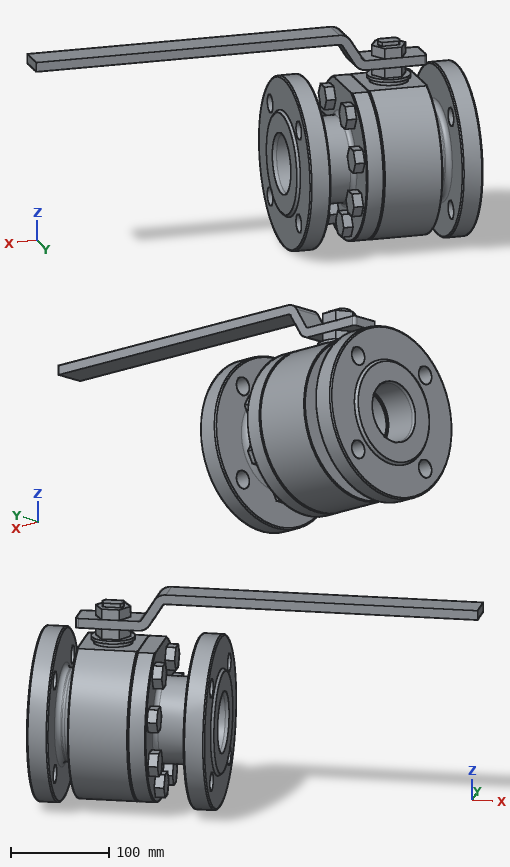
import cadquery as cq
import math


FACE_TO_FACE = 190.0
INLET_FACE_X = -76.0
OUTLET_FACE_X = INLET_FACE_X + FACE_TO_FACE

FLANGE_DIA = 180.0
FLANGE_THICKNESS = 22.0
FLANGE_CHAMFER = 1.5
RAISED_FACE_DIA = 105.0
RAISED_FACE_BASE_DIA = 110.0
RAISED_FACE_HEIGHT = 3.0
FLANGE_HOLE_DIA = 19.0
FLANGE_HOLE_CIRCLE_DIA = 139.7
FLANGE_HOLE_COUNT = 4
FIRST_FLANGE_HOLE_ANGLE = 45.0

BORE_DIA = 62.0
BORE_MOUTH_DIA = 63.8
BORE_MOUTH_DEPTH = 4.0
SEAT_GROOVE_DIA = 63.8
SEAT_GROOVE_OFFSET = 39.0
SEAT_GROOVE_WIDTH = 2.5

BODY_DIA = 170.0
BODY_START_X = -31.5
BODY_END_X = 31.0
CAP_END_X = 49.5
BODY_CHAMFER = 1.0
BODY_FLAT_Z = 79.0
CAP_FLAT_Z = 78.5

INLET_NECK_DIA = 96.0
INLET_FLANGE_FILLET = 5.5
INLET_BEND_START_X = -44.2
INLET_BEND_RADIUS = 6.0
INLET_CONE_END_X = -35.0
INLET_CONE_ANGLE = 27.0
INLET_FLARE_DIA = 111.0
OUTLET_NECK_DIA = 90.0
OUTLET_CAP_FILLET = 5.0
OUTLET_FLANGE_FILLET = 7.0

BOLT_COUNT = 8
BOLT_CIRCLE_DIA = 133.0
BOLT_ACROSS_FLATS = 24.0
BOLT_HEAD_HEIGHT = 10.0
FIRST_BOLT_ANGLE = 32.5

COLLAR_DIA = 45.0
GLAND_DIA = 40.0
COLLAR_BOTTOM_Z = 83.0
COLLAR_TOP_Z = 86.0
NUT_ACROSS_FLATS = 31.4
NUT_TOP_Z = 117.5
STEM_DIA = 22.4
STEM_ACROSS_FLATS = 14.0
STEM_TOP_Z = 121.5

LEVER_START_X = -36.0
LEVER_END_X = 380.0
LEVER_WIDTH = 32.0
LEVER_THICKNESS = 10.0
LEVER_LOW_Z = 96.5
LEVER_TOP_Z = 136.0
LEVER_BEND_X = 31.0
LEVER_SLOPE = 58.0
LEVER_INNER_RADIUS = 4.0
LEVER_CORNER = 3.0

OVERLAP = 1.0


def cylinder_x(diameter, start_x, end_x):
    """Solid cylinder along the flow axis."""
    return cq.Workplane("YZ", origin=(start_x, 0, 0)).circle(diameter / 2).extrude(end_x - start_x)


def hexagon_corners(across_flats):
    """Diameter of the circle through the corners of a hexagon."""
    return across_flats / math.cos(math.radians(30))


def make_flange(face_x, inward):
    """Flange whose raised face lies at face_x; inward is the X direction to the body."""
    plate_x = RAISED_FACE_HEIGHT
    back_x = plate_x + FLANGE_THICKNESS
    radius = FLANGE_DIA / 2
    profile = [
        (0, 0),
        (0, RAISED_FACE_DIA / 2),
        (plate_x, RAISED_FACE_BASE_DIA / 2),
        (plate_x, radius - FLANGE_CHAMFER),
        (plate_x + FLANGE_CHAMFER, radius),
        (back_x - FLANGE_CHAMFER, radius),
        (back_x, radius - FLANGE_CHAMFER),
        (back_x, 0),
    ]
    points = [(face_x + inward * x, r) for x, r in profile]
    flange = cq.Workplane("XY").polyline(points).close().revolve(360, (0, 0, 0), (1, 0, 0))
    holes = (
        cq.Workplane("YZ", origin=(face_x, 0, 0))
        .polarArray(FLANGE_HOLE_CIRCLE_DIA / 2, FIRST_FLANGE_HOLE_ANGLE, 360, FLANGE_HOLE_COUNT)
        .circle(FLANGE_HOLE_DIA / 2)
        .extrude(inward * back_x)
    )
    return flange.cut(holes)


def make_drum(start_x, end_x, flat_z):
    """Round housing piece with chamfered rims and a flat on top."""
    drum = cylinder_x(BODY_DIA, start_x, end_x).edges().chamfer(BODY_CHAMFER)
    above_flat = cq.Workplane("XY", origin=(0, 0, flat_z)).rect(BODY_DIA, BODY_DIA).extrude(BODY_DIA)
    return drum.cut(above_flat)


def make_inlet_neck():
    """Neck with a fillet at the flange, then a cone that curves out to the body."""
    flange_x = INLET_FACE_X + RAISED_FACE_HEIGHT + FLANGE_THICKNESS
    radius = INLET_NECK_DIA / 2
    fillet = INLET_FLANGE_FILLET
    arc_offset = fillet * (1 - math.sqrt(0.5))
    cone_angle = math.radians(INLET_CONE_ANGLE)
    bend_end_x = INLET_BEND_START_X + INLET_BEND_RADIUS * math.sin(cone_angle)
    bend_end_radius = radius + INLET_BEND_RADIUS * (1 - math.cos(cone_angle))
    cone_end_radius = bend_end_radius + (INLET_CONE_END_X - bend_end_x) * math.tan(cone_angle)
    return (
        cq.Workplane("XY")
        .moveTo(flange_x - OVERLAP, 0)
        .lineTo(flange_x - OVERLAP, radius + fillet)
        .lineTo(flange_x, radius + fillet)
        .threePointArc((flange_x + arc_offset, radius + arc_offset), (flange_x + fillet, radius))
        .lineTo(INLET_BEND_START_X, radius)
        .tangentArcPoint((bend_end_x, bend_end_radius), relative=False)
        .lineTo(INLET_CONE_END_X, cone_end_radius)
        .tangentArcPoint((BODY_START_X, INLET_FLARE_DIA / 2), relative=False)
        .lineTo(BODY_START_X + OVERLAP, INLET_FLARE_DIA / 2)
        .lineTo(BODY_START_X + OVERLAP, 0)
        .close()
        .revolve(360, (0, 0, 0), (1, 0, 0))
    )


def make_outlet_neck():
    """Straight neck with a fillet at the end cap and one at the flange."""
    flange_x = OUTLET_FACE_X - RAISED_FACE_HEIGHT - FLANGE_THICKNESS
    radius = OUTLET_NECK_DIA / 2
    cap_fillet = OUTLET_CAP_FILLET
    flange_fillet = OUTLET_FLANGE_FILLET
    arc_part = 1 - math.sqrt(0.5)
    cap_mid = (CAP_END_X + cap_fillet * arc_part, radius + cap_fillet * arc_part)
    flange_mid = (flange_x - flange_fillet * arc_part, radius + flange_fillet * arc_part)
    return (
        cq.Workplane("XY")
        .moveTo(CAP_END_X - OVERLAP, 0)
        .lineTo(CAP_END_X - OVERLAP, radius + cap_fillet)
        .lineTo(CAP_END_X, radius + cap_fillet)
        .threePointArc(cap_mid, (CAP_END_X + cap_fillet, radius))
        .lineTo(flange_x - flange_fillet, radius)
        .threePointArc(flange_mid, (flange_x, radius + flange_fillet))
        .lineTo(flange_x + OVERLAP, radius + flange_fillet)
        .lineTo(flange_x + OVERLAP, 0)
        .close()
        .revolve(360, (0, 0, 0), (1, 0, 0))
    )


def make_bore():
    """Through bore with tapered mouths and a shallow groove at each seat."""
    bore = cylinder_x(BORE_DIA, INLET_FACE_X, OUTLET_FACE_X)
    for face_x, inward in ((INLET_FACE_X, 1), (OUTLET_FACE_X, -1)):
        mouth = (
            cq.Workplane("YZ", origin=(face_x, 0, 0))
            .circle(BORE_MOUTH_DIA / 2)
            .workplane(offset=inward * BORE_MOUTH_DEPTH)
            .circle(BORE_DIA / 2)
            .loft(ruled=True)
        )
        bore = bore.union(mouth)
    for side in (-1, 1):
        groove_x = side * (-INLET_FACE_X - SEAT_GROOVE_OFFSET)
        half = SEAT_GROOVE_WIDTH / 2
        bore = bore.union(cylinder_x(SEAT_GROOVE_DIA, groove_x - half, groove_x + half))
    return bore


def make_bolt_heads():
    """Hexagon heads on the end cap, evenly spaced except for a wider gap at the top."""
    step = (360 - 2 * FIRST_BOLT_ANGLE) / (BOLT_COUNT - 1)
    centres = []
    for index in range(BOLT_COUNT):
        angle = math.radians(FIRST_BOLT_ANGLE + index * step)
        centres.append((BOLT_CIRCLE_DIA / 2 * math.sin(angle), BOLT_CIRCLE_DIA / 2 * math.cos(angle)))
    return (
        cq.Workplane("YZ", origin=(CAP_END_X - OVERLAP, 0, 0))
        .pushPoints(centres)
        .polygon(6, hexagon_corners(BOLT_ACROSS_FLATS))
        .extrude(BOLT_HEAD_HEIGHT + OVERLAP)
    )


def make_stem():
    """Gland with its collar, the hexagon nuts and the flatted stem end."""
    base_z = CAP_FLAT_Z - OVERLAP
    gland = cq.Workplane("XY", origin=(0, 0, base_z)).circle(GLAND_DIA / 2).extrude(COLLAR_TOP_Z - base_z)
    collar = (
        cq.Workplane("XY", origin=(0, 0, COLLAR_BOTTOM_Z))
        .circle(COLLAR_DIA / 2)
        .extrude(COLLAR_TOP_Z - COLLAR_BOTTOM_Z)
    )
    nuts = (
        cq.Workplane("XY", origin=(0, 0, COLLAR_BOTTOM_Z))
        .polygon(6, hexagon_corners(NUT_ACROSS_FLATS))
        .extrude(NUT_TOP_Z - COLLAR_BOTTOM_Z)
    )
    stem_end = (
        cq.Workplane("XY", origin=(0, 0, NUT_TOP_Z - OVERLAP))
        .circle(STEM_DIA / 2)
        .extrude(STEM_TOP_Z - NUT_TOP_Z + OVERLAP)
    )
    flats = cq.Workplane("XY").rect(STEM_DIA, STEM_ACROSS_FLATS).extrude(STEM_TOP_Z)
    return gland.union(collar).union(nuts).union(stem_end.intersect(flats))


def make_lever():
    """Flat bar with a double bend, the grip lying above the mounting end."""
    slope = math.radians(LEVER_SLOPE)
    low_top_z = LEVER_LOW_Z + LEVER_THICKNESS
    high_bottom_z = LEVER_TOP_Z - LEVER_THICKNESS
    rise = LEVER_TOP_Z - low_top_z
    run = rise / math.tan(slope)
    under_shift = LEVER_THICKNESS * math.tan(slope / 2)
    low_inner = (LEVER_BEND_X, low_top_z)
    high_outer = (LEVER_BEND_X + run, LEVER_TOP_Z)
    low_outer = (LEVER_BEND_X + under_shift, LEVER_LOW_Z)
    high_inner = (LEVER_BEND_X + run + under_shift, high_bottom_z)
    points = [
        (LEVER_START_X, LEVER_LOW_Z),
        low_outer,
        high_inner,
        (LEVER_END_X, high_bottom_z),
        (LEVER_END_X, LEVER_TOP_Z),
        high_outer,
        low_inner,
        (LEVER_START_X, low_top_z),
    ]
    lever = cq.Workplane("XZ").polyline(points).close().extrude(LEVER_WIDTH / 2, both=True)
    outer_radius = LEVER_INNER_RADIUS + LEVER_THICKNESS
    bends = (
        (low_inner, LEVER_INNER_RADIUS),
        (high_inner, LEVER_INNER_RADIUS),
        (low_outer, outer_radius),
        (high_outer, outer_radius),
    )
    for (x, z), radius in bends:
        bend_edge = cq.selectors.NearestToPointSelector((x, 0, z))
        lever = lever.edges("|Y").edges(bend_edge).fillet(radius)
    return lever.faces("<X").edges("|Z").fillet(LEVER_CORNER)


valve = make_drum(BODY_START_X, BODY_END_X, BODY_FLAT_Z)
for piece in (
    make_drum(BODY_END_X, CAP_END_X, CAP_FLAT_Z),
    make_inlet_neck(),
    make_outlet_neck(),
    make_flange(INLET_FACE_X, 1),
    make_flange(OUTLET_FACE_X, -1),
    make_bolt_heads(),
    make_stem(),
    make_lever(),
):
    valve = valve.union(piece)

result = valve.cut(make_bore())